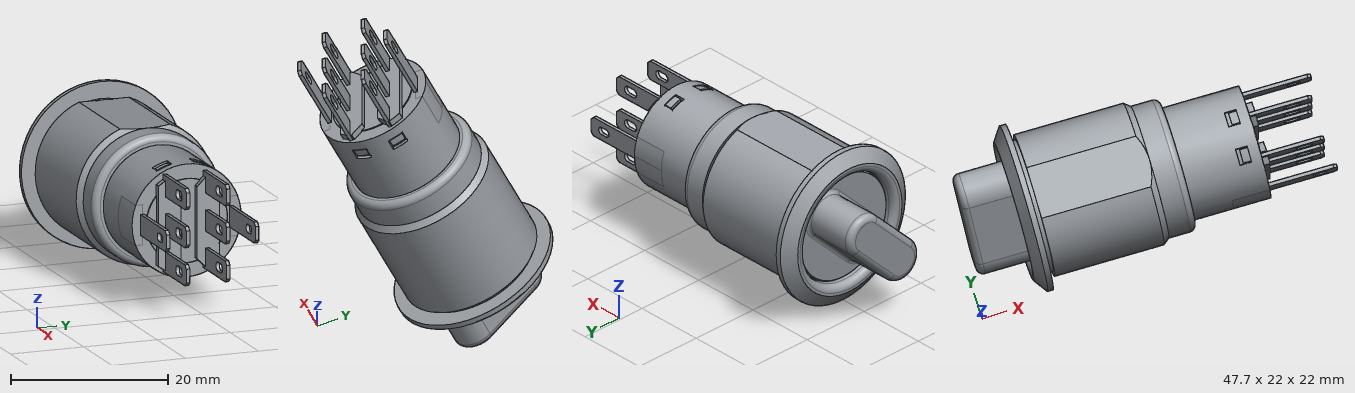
import cadquery as cq
import math

TOTAL_LENGTH = 47.7
DISC_FRONT = 7.7
DISC_BACK = 8.65
FLANGE_FRONT = 6.5
FLANGE_RIM = 7.78
FLANGE_BACK = 8.55
BARREL_START = 9.2
BARREL_TAPER = 23.7
BARREL_END = 24.5
COLLAR_END = 28.25
BASE_END = 38.45

GRIP_RADIUS = 2.95
GRIP_END_OFFSET = 4.45
GRIP_ANGLE = 45.0
GRIP_EDGE_FILLET = 0.9
GRIP_FOOT_FILLET = 0.52
DISC_RADIUS = 15.3 / 2
DISC_FACE_RADIUS = 15.0 / 2
DISC_CHAMFER = DISC_RADIUS - DISC_FACE_RADIUS

FLANGE_RADIUS = 22.0 / 2
FLANGE_FACE_RADIUS = 9.15
MOUTH_RADIUS = 17.5 / 2
BORE_RADIUS = 15.6 / 2
MOUTH_FILLET = MOUTH_RADIUS - BORE_RADIUS
BARREL_RADIUS = 9.4
COLLAR_RADIUS = 17.5 / 2
COLLAR_FILLET = 0.9
BASE_RADIUS = 14.9 / 2

WINDOW_START = 35.5
WINDOW_LENGTH = 1.55
WINDOW_WIDTH = 2.0
WINDOW_Y = 2.55
WINDOW_DEPTH = 0.5
LATCH_RECESS = 0.1
LATCH_FRONT_GAP = 0.5
LATCH_SIDE_GAP = 0.15

PANEL_START = 33.5
PANEL_WIDTH = 5.3
PANEL_THICKNESS = 1.45

PLATE_RADIUS = 5.55
PLATE_THICKNESS = 0.15
BOSS_HEIGHT = 0.85
BOSS_INNER_Y = 1.1
BOSS_OUTER_Y = 4.15
BOSS_RIDGE_Y = 2.58
BOSS_ARC_RADIUS = 6.73
BOSS_CENTRE_Z = -0.2

TERMINAL_WIDTH = 2.75
TERMINAL_THICKNESS = 0.5
TERMINAL_TIP_CHAMFER = 0.5
TERMINAL_ROOT = 0.95
INNER_TIP = 46.75
INNER_ROWS_Y = (2.5, -3.0)
INNER_PITCH_Z = 5.0
INNER_EYE = (2.2, 1.2)
INNER_EYE_X = 44.1
OUTER_Y = 6.05
OUTER_TIPS = ((OUTER_Y, TOTAL_LENGTH), (-OUTER_Y, 47.6))
OUTER_EYE = (1.85, 1.05)
OUTER_EYE_X = 45.3


def cylinder(radius, start, end):
    """Solid cylinder on the X axis."""
    return cq.Workplane("YZ").workplane(offset=start).circle(radius).extrude(end - start)


def box(x_range, y_range, z_range):
    """Axis-aligned block given by its limits."""
    lengths = [high - low for low, high in (x_range, y_range, z_range)]
    corner = (x_range[0], y_range[0], z_range[0])
    return cq.Workplane("XY").box(*lengths, centered=False).translate(corner)


def grip_bar(end):
    """Round-ended bar from the front of the knob to the given station."""
    length = 2 * (GRIP_END_OFFSET + GRIP_RADIUS)
    bar = cq.Workplane("YZ").slot2D(length, 2 * GRIP_RADIUS, GRIP_ANGLE).extrude(end)
    return bar.faces("<X").edges().fillet(GRIP_EDGE_FILLET)


def make_knob():
    """Grip bar blended into a chamfered disc, with the blend trimmed to the disc rim."""
    wide_plate = cylinder(2 * DISC_RADIUS, DISC_FRONT, DISC_BACK)
    margin = GRIP_FOOT_FILLET / 2
    foot_zone = cq.selectors.BoxSelector(
        (DISC_FRONT - margin, -BORE_RADIUS, -BORE_RADIUS),
        (DISC_FRONT + margin, BORE_RADIUS, BORE_RADIUS),
    )
    blended = grip_bar(DISC_FRONT).union(wide_plate).edges(foot_zone).fillet(GRIP_FOOT_FILLET)
    blended = blended.intersect(cylinder(DISC_RADIUS, 0, DISC_FRONT))
    disc = cylinder(DISC_RADIUS, DISC_FRONT, DISC_BACK).faces("<X").edges().chamfer(DISC_CHAMFER)
    return disc.union(blended).union(grip_bar(DISC_BACK))


def housing_shell():
    """Turned housing: flange, neck, barrel, collar and base, with the round-mouthed bore for the knob."""
    diagonal = math.sqrt(0.5)
    mouth_centre_x = FLANGE_FRONT + MOUTH_FILLET
    mouth_arc = (mouth_centre_x - MOUTH_FILLET * diagonal, MOUTH_RADIUS - MOUTH_FILLET * diagonal)
    collar_centre_x = COLLAR_END - COLLAR_FILLET
    collar_centre_r = COLLAR_RADIUS - COLLAR_FILLET
    collar_arc = (collar_centre_x + COLLAR_FILLET * diagonal, collar_centre_r + COLLAR_FILLET * diagonal)
    profile = (
        cq.Workplane("XY")
        .moveTo(DISC_BACK, 0)
        .lineTo(DISC_BACK, BORE_RADIUS)
        .lineTo(mouth_centre_x, BORE_RADIUS)
        .threePointArc(mouth_arc, (FLANGE_FRONT, MOUTH_RADIUS))
        .lineTo(FLANGE_FRONT, FLANGE_FACE_RADIUS)
        .lineTo(FLANGE_RIM, FLANGE_RADIUS)
        .lineTo(FLANGE_BACK, FLANGE_RADIUS)
        .lineTo(FLANGE_BACK, COLLAR_RADIUS)
        .lineTo(BARREL_START, COLLAR_RADIUS)
        .lineTo(BARREL_START, BARREL_RADIUS)
        .lineTo(BARREL_TAPER, BARREL_RADIUS)
        .lineTo(BARREL_END, COLLAR_RADIUS)
        .lineTo(collar_centre_x, COLLAR_RADIUS)
        .threePointArc(collar_arc, (COLLAR_END, collar_centre_r))
        .lineTo(COLLAR_END, BASE_RADIUS)
        .lineTo(BASE_END, BASE_RADIUS)
        .lineTo(BASE_END, 0)
        .close()
    )
    return profile.revolve(360, (0, 0, 0), (1, 0, 0))


def barrel_flat():
    """Block that cuts the flat along the top of the barrel, level with the collar."""
    return box(
        (BARREL_START, BARREL_END),
        (-BARREL_RADIUS, BARREL_RADIUS),
        (COLLAR_RADIUS, BARREL_RADIUS),
    )


def snap_window(side_y, side_z):
    """Cutter for one window in the base, which leaves a latch standing against its rear wall."""
    centre_y = side_y * WINDOW_Y
    half_width = WINDOW_WIDTH / 2
    half_latch = half_width - LATCH_SIDE_GAP
    z_range = (0, BASE_RADIUS) if side_z > 0 else (-BASE_RADIUS, 0)
    window_end = WINDOW_START + WINDOW_LENGTH
    window = box((WINDOW_START, window_end), (centre_y - half_width, centre_y + half_width), z_range)
    window = window.cut(cylinder(BASE_RADIUS - WINDOW_DEPTH, WINDOW_START, window_end))
    latch = box(
        (WINDOW_START + LATCH_FRONT_GAP, window_end),
        (centre_y - half_latch, centre_y + half_latch),
        z_range,
    )
    latch = latch.intersect(cylinder(BASE_RADIUS - LATCH_RECESS, WINDOW_START, window_end))
    return window.cut(latch)


def side_panel(side):
    """Panel set flush with the curved side of the base."""
    inner = BASE_RADIUS - PANEL_THICKNESS
    y_range = (inner, BASE_RADIUS) if side > 0 else (-BASE_RADIUS, -inner)
    block = box((PANEL_START, BASE_END), y_range, (-PANEL_WIDTH / 2, PANEL_WIDTH / 2))
    return block.intersect(cylinder(BASE_RADIUS, PANEL_START, BASE_END))


def rear_boss(side):
    """Upright rib on the rear face: round outer ends and 45 degree cuts on the inner side."""
    def arc_height(y):
        return math.sqrt(BOSS_ARC_RADIUS**2 - y**2)

    ridge_z = arc_height(BOSS_RIDGE_Y)
    inner_z = ridge_z - (BOSS_RIDGE_Y - BOSS_INNER_Y)
    outer_z = arc_height(BOSS_OUTER_Y)
    middle_y = (BOSS_RIDGE_Y + BOSS_OUTER_Y) / 2
    middle_z = arc_height(middle_y)
    boss = (
        cq.Workplane("YZ")
        .moveTo(side * BOSS_INNER_Y, -inner_z)
        .lineTo(side * BOSS_INNER_Y, inner_z)
        .lineTo(side * BOSS_RIDGE_Y, ridge_z)
        .threePointArc((side * middle_y, middle_z), (side * BOSS_OUTER_Y, outer_z))
        .lineTo(side * BOSS_OUTER_Y, -outer_z)
        .threePointArc((side * middle_y, -middle_z), (side * BOSS_RIDGE_Y, -ridge_z))
        .close()
        .extrude(BOSS_HEIGHT)
    )
    return boss.translate((BASE_END, 0, BOSS_CENTRE_Z))


def terminal(y, z, tip, eye_x, eye_size):
    """Flat solder terminal with a chamfered tip and a slotted eye."""
    half_width = TERMINAL_WIDTH / 2
    half_thickness = TERMINAL_THICKNESS / 2
    blade = box(
        (BASE_END - TERMINAL_ROOT, tip),
        (y - half_thickness, y + half_thickness),
        (z - half_width, z + half_width),
    )
    blade = blade.faces(">X").edges("|Y").chamfer(TERMINAL_TIP_CHAMFER)
    eye = cq.Workplane("XZ").slot2D(*eye_size).extrude(TERMINAL_THICKNESS, both=True)
    return blade.cut(eye.translate((eye_x, y, z)))


def make_housing():
    """Housing with its windows, rear details, terminals and flush panels, as one solid."""
    body = housing_shell().cut(barrel_flat())
    for side_y in (1, -1):
        for side_z in (1, -1):
            body = body.cut(snap_window(side_y, side_z))
    body = body.union(cylinder(PLATE_RADIUS, BASE_END, BASE_END + PLATE_THICKNESS))
    for side in (1, -1):
        body = body.union(rear_boss(side))
    for y in INNER_ROWS_Y:
        for row in (-1, 0, 1):
            body = body.union(terminal(y, row * INNER_PITCH_Z, INNER_TIP, INNER_EYE_X, INNER_EYE))
    for y, tip in OUTER_TIPS:
        body = body.union(terminal(y, 0, tip, OUTER_EYE_X, OUTER_EYE))
    for side in (1, -1):
        body = body.union(side_panel(side), clean=False)
    return body


knob = make_knob()
housing = make_housing()
result = cq.Compound.makeCompound([knob.solids().val(), housing.solids().val()])